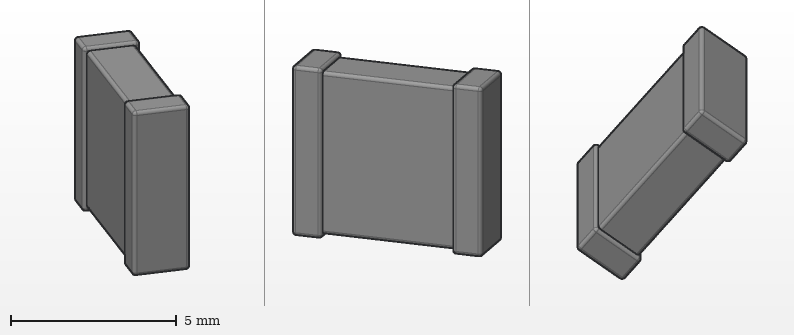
import cadquery as cq

length = 6.1
depth = 1.8
height = 5.4

terminal_width = 0.95
edge_radius = 0.115

body_length = length - 2 * terminal_width
body_depth = depth - 2 * edge_radius
body_height = height - 2 * edge_radius
terminal_offset = (length - terminal_width) / 2


def make_body():
    """Block between the terminals, rounded along its four long edges."""
    return cq.Workplane("XY").box(body_length, body_depth, body_height).edges("|X").fillet(edge_radius)


def make_terminal(center_x):
    """End terminal, a block rounded on every edge."""
    block = cq.Workplane("XY").box(terminal_width, depth, height).edges().fillet(edge_radius)
    return block.translate((center_x, 0, 0))


body = make_body()
terminals = [make_terminal(side * terminal_offset) for side in (-1, 1)]

result = cq.Compound.makeCompound([body.val(), *(terminal.val() for terminal in terminals)])